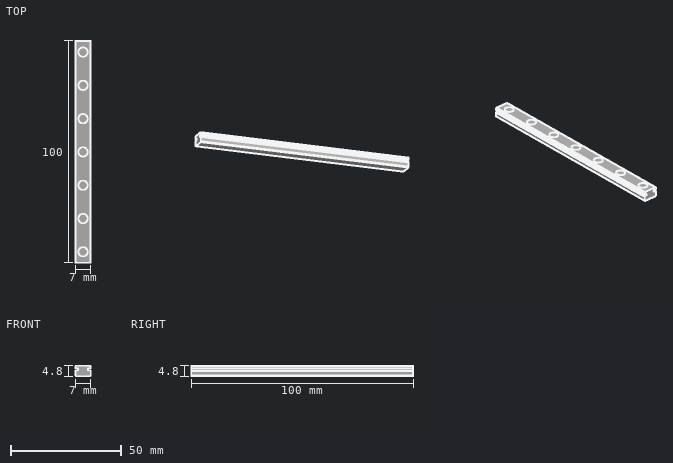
import cadquery as cq

rail_width = 7.0
rail_length = 100.0
rail_height = 4.8
bottom_chamfer = 0.38
top_chamfer_width = 0.3
top_chamfer_height = 0.39

groove_top_depth = 1.15
groove_bottom_depth = 1.3
groove_top = 3.5
groove_bottom = 2.78
lip_chamfer_width = 0.2
lip_chamfer_height = 0.2

shoulder_inset = 0.2
floor_inset = 0.45
shoulder_top = 2.58
shoulder_bottom = 2.33

recess_diameter = 4.2
recess_depth = 0.1
recess_pitch = 15.0
recess_count = 7


def make_rail():
    """Extrude the mirrored rail profile along Y."""
    side = rail_width / 2
    right_half = [
        (0, 0),
        (side - bottom_chamfer, 0),
        (side, bottom_chamfer),
        (side, shoulder_bottom),
        (side - shoulder_inset, shoulder_top),
        (side - floor_inset, groove_bottom),
        (side - groove_bottom_depth, groove_bottom),
        (side - groove_top_depth, groove_top),
        (side - lip_chamfer_width, groove_top),
        (side, groove_top + lip_chamfer_height),
        (side, rail_height - top_chamfer_height),
        (side - top_chamfer_width, rail_height),
        (0, rail_height),
    ]
    profile = cq.Workplane("XZ").polyline(right_half).mirrorY()
    return profile.extrude(rail_length / 2, both=True)


def cut_recesses(body):
    """Cut the row of evenly spaced recesses, centred on the rail."""
    return (
        body.faces(">Z")
        .workplane(origin=(0, 0, rail_height))
        .rarray(1, recess_pitch, 1, recess_count)
        .hole(recess_diameter, recess_depth)
    )


result = cut_recesses(make_rail())